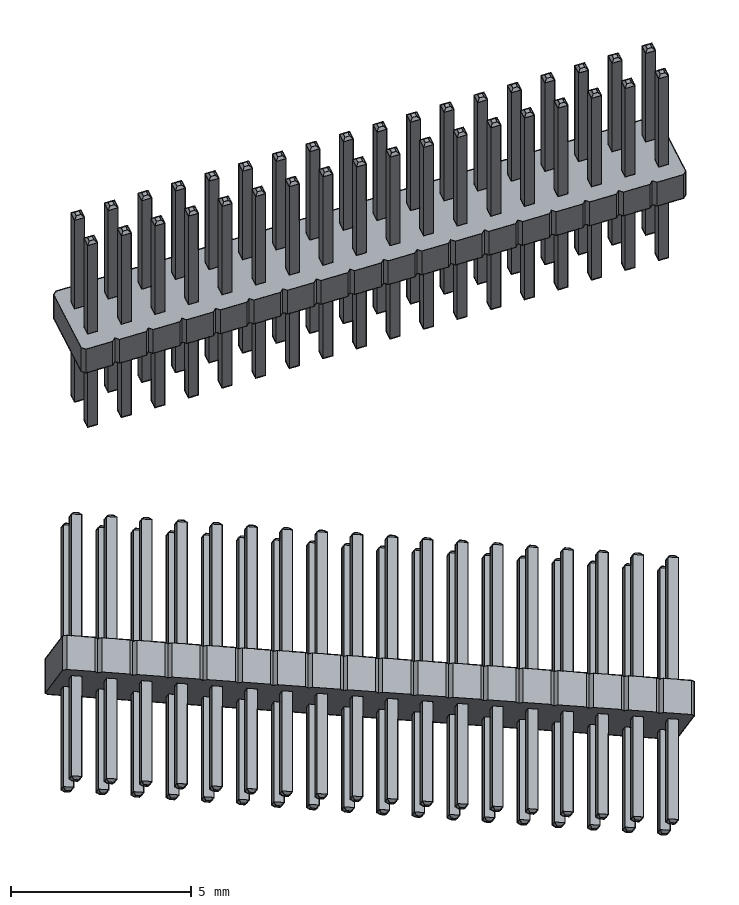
import cadquery as cq

rows = 18
columns = 2
strip_length = 18.0
strip_width = 2.3
pitch = strip_length / rows
strip_height = pitch
cell_chamfer = 0.1

pin_gap = 0.7
pin_side = pitch - pin_gap
pin_length = 7.8
pin_below_strip = 3 * pitch
pin_tip_chamfer = 0.08


def row_position(row):
    """Y of the centre of a row, with the rows centred on the origin."""
    return (row - (rows - 1) / 2) * pitch


def column_position(column):
    """X of the centre of a column, with the columns centred on the origin."""
    return (column - (columns - 1) / 2) * pitch


def make_strip():
    """Body of joined cells, whose chamfered corners leave V notches between rows."""
    half_width = strip_width / 2
    shoulder = half_width - cell_chamfer
    right_side = []
    for row in range(rows):
        cell_start = row_position(row) - pitch / 2
        cell_end = cell_start + pitch
        right_side += [
            (shoulder, cell_start),
            (half_width, cell_start + cell_chamfer),
            (half_width, cell_end - cell_chamfer),
        ]
    right_side.append((shoulder, strip_length / 2))
    left_side = [(-x, y) for x, y in reversed(right_side)]
    return cq.Workplane("XY").polyline(right_side + left_side).close().extrude(strip_height)


def make_pins():
    """Square pins with both tips chamfered, one at every row and column."""
    pin = (
        cq.Workplane("XY")
        .workplane(offset=-pin_below_strip)
        .rect(pin_side, pin_side)
        .extrude(pin_length)
        .faces("<Z or >Z")
        .chamfer(pin_tip_chamfer)
    )
    centres = [
        (column_position(column), row_position(row))
        for row in range(rows)
        for column in range(columns)
    ]
    return cq.Workplane("XY").pushPoints(centres).eachpoint(pin.val(), combine=False)


result = make_strip().union(make_pins())